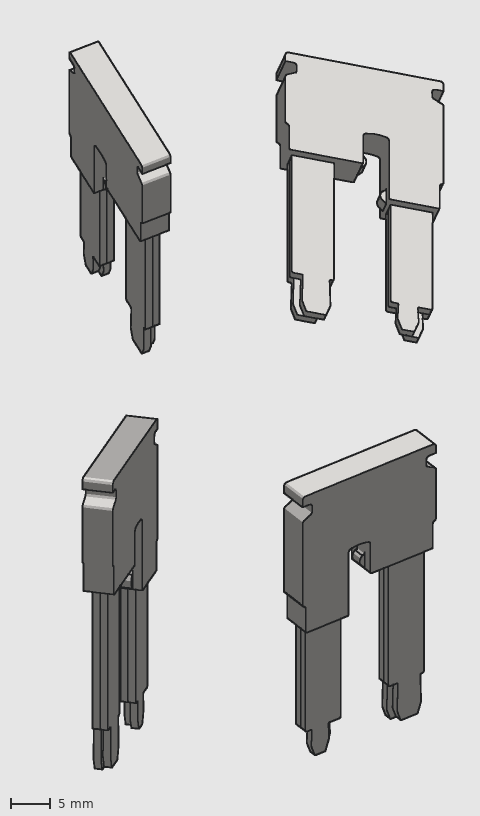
import cadquery as cq
import math


total_height = 40.8
housing_width = 20.8
housing_thickness = 4.0
half_width = housing_width / 2
corner_radius = 0.5
leg_corner_radius = 0.2

notch_depth = 1.5
notch_top = 39.3
notch_slope_top = 37.82
notch_slope_bottom = 37.05

left_leg_bottom = 20.0
leg_offset = 5.0
right_leg_bottom = left_leg_bottom + leg_offset
step_inset = 0.5
step_top = 4.25
step_bottom = 3.9
step_radius = 0.33

slot_left = -3.22
slot_right = 0.15
slot_shoulder = 29.85
slot_crown = 30.15

lug_reach = 0.78
lug_thickness = 1.55
lug_root_top = 2.6
lug_root_radius = 0.35
lug_tip_height = 1.43
lug_chamfer = 0.6
lug_root_bottom = leg_corner_radius

blade_width = 5.55
blade_thickness = housing_thickness / 4
blade_centre = 6.5
shoulder_radius = 0.3
prong_root_radius = 0.2
prong_shift = 0.45
prong_flare = 0.12
prong_flare_height = 1.65
prong_tip_inset = 0.45
prong_flare_radius = 0.6
prong_tip_radius = 0.15
left_prong_half_width = 1.25
right_prong_half_width = 1.75
left_shoulder = 4.12
right_shoulder = 5.88


def extrude_centred(outline, thickness):
    """Extrude an XZ outline equally to both sides of Y = 0."""
    return outline.close().extrude(thickness / 2, both=True)


def round_corners(body, corners, radius):
    """Fillet the edges along Y that pass through the given (x, z) corners."""
    edges = cq.Workplane("XZ")
    reach = 0.02
    for x, z in corners:
        box = cq.selectors.BoxSelector(
            (x - reach, -housing_thickness, z - reach),
            (x + reach, housing_thickness, z + reach),
        )
        edges = edges.add(body.edges("|Y").edges(box))
    return body.newObject(edges.vals()).fillet(radius)


def make_lug(wall_x, leg_bottom, direction):
    """Latch lug on a slot wall, pointing along direction (+1 or -1) in X."""
    def at(reach, height):
        return wall_x + direction * reach, leg_bottom + height

    hollow_depth = lug_root_radius * math.sqrt(0.5)
    outline = (
        cq.Workplane("XZ")
        .moveTo(*at(0, lug_root_bottom))
        .lineTo(*at(0, lug_root_top))
        .threePointArc(
            at(lug_root_radius - hollow_depth, lug_root_top - hollow_depth),
            at(lug_root_radius, lug_root_top - lug_root_radius),
        )
        .threePointArc(at(lug_reach, lug_tip_height), at(lug_chamfer, lug_root_bottom + lug_chamfer))
    )
    return extrude_centred(outline, lug_thickness)


def make_housing():
    """Flat housing with notches, stepped legs, slot and latch lugs."""
    def side(sign, leg_bottom):
        """Corners of one outer side, from the top down to the leg bottom."""
        outer = sign * half_width
        notch = sign * (half_width - notch_depth)
        leg = sign * (half_width - step_inset)
        return {
            "top": (outer, total_height),
            "rim": (outer, notch_top),
            "notch_top": (notch, notch_top),
            "notch_slope_top": (notch, notch_slope_top),
            "notch_slope_bottom": (outer, notch_slope_bottom),
            "step_top": (outer, leg_bottom + step_top),
            "step_bottom": (leg, leg_bottom + step_bottom),
            "leg_bottom": (leg, leg_bottom),
        }

    left = side(-1, left_leg_bottom)
    right = side(1, right_leg_bottom)
    slot_centre = (slot_left + slot_right) / 2
    slot_corners = [(slot_left, slot_shoulder), (slot_right, slot_shoulder)]
    inner_leg_corners = [(slot_left, left_leg_bottom), (slot_right, right_leg_bottom)]

    outline = (
        cq.Workplane("XZ")
        .polyline([*left.values(), inner_leg_corners[0], slot_corners[0]])
        .threePointArc((slot_centre, slot_crown), slot_corners[1])
        .lineTo(*inner_leg_corners[1])
    )
    for corner in reversed(right.values()):
        outline = outline.lineTo(*corner)
    body = extrude_centred(outline, housing_thickness)

    rounded = ["top", "notch_top", "notch_slope_top", "notch_slope_bottom"]
    corners = [edge[name] for edge in (left, right) for name in rounded]
    body = round_corners(body, corners + slot_corners, corner_radius)
    corners = [edge[name] for edge in (left, right) for name in ("step_top", "step_bottom")]
    body = round_corners(body, corners, step_radius)
    leg_corners = inner_leg_corners + [left["leg_bottom"], right["leg_bottom"]]
    body = round_corners(body, leg_corners, leg_corner_radius)

    body = body.union(make_lug(slot_left, left_leg_bottom, 1))
    return body.union(make_lug(slot_right, right_leg_bottom, -1))


def make_blade(centre_x, top, shoulder, prong_half_width, shift, layer):
    """Contact blade under a leg; layer is -1 for the front sheet, +1 for the rear."""
    half_blade = blade_width / 2
    prong_x = centre_x + shift
    half_flare = prong_half_width + prong_flare
    half_tip = prong_half_width - prong_tip_inset

    shoulders = [(centre_x + s * half_blade, shoulder) for s in (-1, 1)]
    roots = [(prong_x + s * prong_half_width, shoulder) for s in (-1, 1)]
    flares = [(prong_x + s * half_flare, prong_flare_height) for s in (-1, 1)]
    tips = [(prong_x + s * half_tip, 0) for s in (-1, 1)]

    left_side = [(centre_x - half_blade, top), shoulders[0], roots[0], flares[0], tips[0]]
    right_side = [tips[1], flares[1], roots[1], shoulders[1], (centre_x + half_blade, top)]
    outline = cq.Workplane("XZ").polyline(left_side + right_side)
    body = extrude_centred(outline, blade_thickness)
    body = round_corners(body, shoulders, shoulder_radius)
    body = round_corners(body, roots, prong_root_radius)
    body = round_corners(body, flares, prong_flare_radius)
    body = round_corners(body, tips, prong_tip_radius)
    return body.translate((0, layer * blade_thickness / 2, 0))


housing = make_housing()

blades = []
for layer in (-1, 1):
    shift = layer * prong_shift
    blades.append(
        make_blade(-blade_centre, left_leg_bottom, left_shoulder, left_prong_half_width, shift, layer)
    )
    blades.append(
        make_blade(blade_centre, right_leg_bottom, right_shoulder, right_prong_half_width, -shift, layer)
    )

result = cq.Compound.makeCompound([housing.val(), *[blade.val() for blade in blades]])